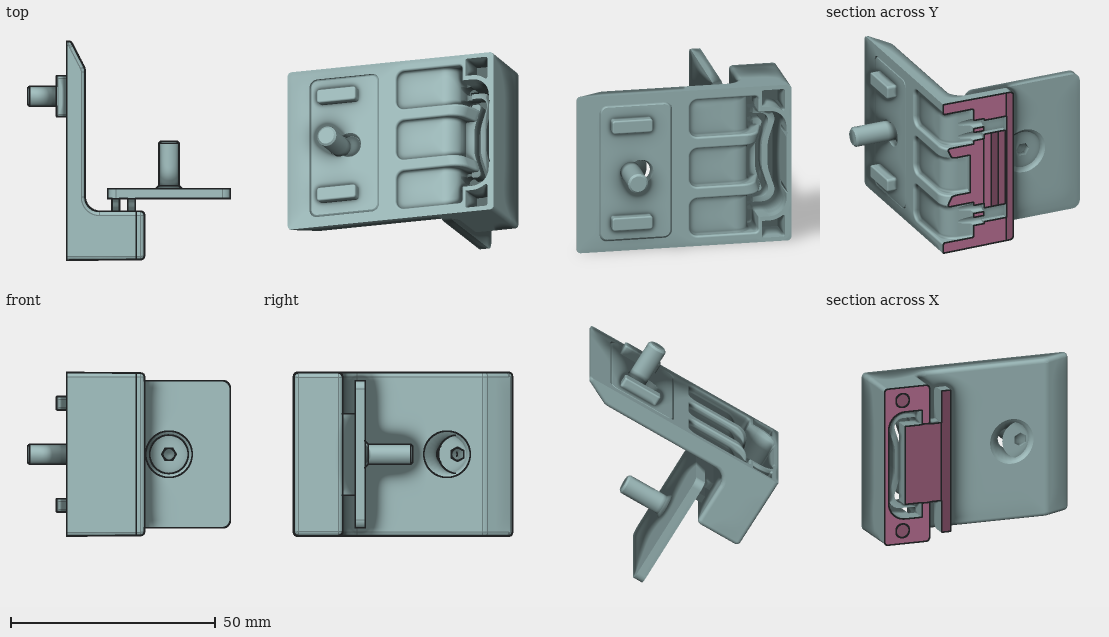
import cadquery as cq
import math


length = 53.5
height = 40.0
depth = 19.05
flange_t = 4.55
ledge_t = 12.0
inner_bend_r = 3.5
edge_r = 1.0
bevel_r = 2.7
draft_angle = 0.5
bevel_start_y = 46.75
bevel_tip_x = 1.05
tip_r = 0.5

cover_t = 2.0
split_x = depth - cover_t
post_r = 1.65
post_y = 4.85
post_z = 16.55

pocket_d = 1.5
pocket_edge_r = 0.5
pocket_end_y = 25.35
pocket_top_z = 17.5
rib_inner_z = 5.0
rib_outer_z = 7.85
pocket_bend_r = 3.75
pocket_bend_angle = 83.0
pocket_bend_y = 13.9
pocket_near_y = 8.25
pocket_corner_r = 2.05
near_corner_r = 0.9
outer_floor_x = 8.35
rib_curve_y = 11.2
rib_slope_angle = 15.0
rib_skew = 18.0

web_front_x = 7.35
ledge_wall_y = 9.9
magnet_x = 11.1
chamber_wall = 1.3
chamber_half_z = 13.55
chamber_r = 4.3
chamber_clear_y = 6.3
bulb_r = 1.1
bulb_y = 9.1
bulb_start_x = 4.8

spring_outer = (4.5, 12.0, 3.0)
spring_inner = (6.0, 10.8, 2.15)
web_edge = (7.65, 9.25, 0.8)
wave_flat = 2.05
wave_bend_r = 8.55
wave_angle = 18.4

corner_near_y = 1.65
corner_far_y = 7.4
corner_low_z = 13.4
corner_high_z = 18.95
corner_wall = 1.05
corner_r = 0.5
corner_draft = 3.0

pole_t = 1.85
magnet_t = 2.0
magnet_near_y = 5.45
magnet_width = 19.9

striker_start_x = 10.0
striker_length = 30.0
striker_t = 2.45
striker_height = 36.0
striker_y = 15.05
striker_corner_r = 2.0

shank_r = 2.45
head_r = 4.7
screw_length = 13.1
screw_tip = 0.5
head_recess = 0.95
socket_flats = 3.0
socket_d = 1.5
screw_x = striker_start_x + striker_length / 2

insert_y = 38.8
insert_width = 18.1
insert_height = 35.0
insert_t = 1.35
insert_corner_r = 2.0
insert_bevel = 0.55
hole_offset = 1.3
hole_r = 2.7
spare_hole_r = 3.05
spare_hole_back_r = 2.5
nub_length = 10.05
nub_width = 3.3
nub_d = 2.5
nub_z = 12.45
nub_corner_r = 0.65
nub_tip_r = 0.4

screw_y = insert_y + hole_offset
spare_y = insert_y - hole_offset
stack_t = 2 * pole_t + magnet_t


def box(x, y, z):
    """Axis-parallel box from three (low, high) ranges."""
    size = [high - low for low, high in (x, y, z)]
    return cq.Workplane("XY").box(*size, centered=False).translate((x[0], y[0], z[0]))


def yz_plane(x):
    return cq.Workplane("YZ", origin=(x, 0, 0))


def both_sides(solid):
    """The solid together with its mirror image below Z = 0."""
    return solid.union(solid.mirror("XY"))


def countersink(y):
    """Cone along X that opens at the far side of the flange."""
    surface_r = head_r + head_recess
    cone_t = surface_r - shank_r
    return cq.Workplane(cq.Solid.makeCone(
        shank_r, surface_r, cone_t, cq.Vector(flange_t - cone_t, y, 0), cq.Vector(1, 0, 0)))


def outer_body():
    profile = (
        cq.Workplane("XY", origin=(0, 0, -height / 2))
        .moveTo(0, 0)
        .lineTo(depth, 0)
        .lineTo(depth, ledge_t)
        .lineTo(flange_t + inner_bend_r, ledge_t)
        .radiusArc((flange_t, ledge_t + inner_bend_r), inner_bend_r)
        .lineTo(flange_t, bevel_start_y)
        .lineTo(bevel_tip_x, length)
        .lineTo(0, length)
        .close()
        .extrude(height)
    )
    for corner, radius in (((bevel_tip_x, length), tip_r), ((flange_t, bevel_start_y), bevel_r)):
        edge = cq.selectors.NearestToPointSelector((*corner, 0))
        profile = profile.edges(edge).fillet(radius)
    drafted = (
        yz_plane(0).center(length / 2, 0)
        .sketch().rect(length, height).vertices().fillet(edge_r).finalize()
        .extrude(depth, taper=draft_angle)
    )
    solid = profile.intersect(drafted)
    rim = cq.selectors.NearestToPointSelector((flange_t, length / 2, height / 2))
    solid = solid.edges(rim).fillet(edge_r)
    return solid.faces(">X").edges().fillet(edge_r)


def round_near_end(solid, high_z, deep_x):
    """Round the near upper corner of an outer pocket and the floor along it."""
    solid = solid.edges("|X and <Y").edges(">Z").fillet(near_corner_r)
    floor_edge = cq.selectors.NearestToPointSelector((deep_x, pocket_near_y, (rib_outer_z + high_z) / 2))
    return solid.edges(floor_edge).fillet(pocket_edge_r)


def pocket(low_z, high_z, near_y, deep_x):
    """Pocket whose floor sweeps from the flange down to the spring web."""
    angle = math.radians(pocket_bend_angle)
    bend_x = pocket_d + pocket_bend_r * (1 - math.cos(angle))
    bend_y = pocket_bend_y - pocket_bend_r * math.sin(angle)
    foot_y = bend_y - (deep_x - bend_x) / math.tan(angle)
    solid = (
        cq.Workplane("XY", origin=(0, 0, low_z))
        .moveTo(0, near_y)
        .lineTo(0, pocket_end_y)
        .lineTo(pocket_d, pocket_end_y)
        .lineTo(pocket_d, pocket_bend_y)
        .radiusArc((bend_x, bend_y), -pocket_bend_r)
        .lineTo(deep_x, foot_y)
        .lineTo(deep_x, near_y)
        .close()
        .extrude(high_z - low_z)
    )
    solid = solid.edges("|X and >Y").fillet(pocket_corner_r)
    if near_y > chamber_clear_y:
        solid = round_near_end(solid, high_z, deep_x)
    floor_edge = cq.selectors.NearestToPointSelector((pocket_d, (pocket_bend_y + pocket_end_y) / 2, low_z))
    return solid.edges(floor_edge).fillet(pocket_edge_r)


def chamber(x_start, x_end, far_y, wall=0.0):
    """Magnet chamber with rounded corners towards the -Y wall, grown by a wall around it."""
    half_z = chamber_half_z + wall
    return (
        box((x_start, x_end), (chamber_wall - wall, far_y), (-half_z, half_z))
        .edges("|X and <Y").fillet(chamber_r + wall)
    )


def wave(edge):
    """Web material between one wavy edge and the ledge wall."""
    mid_y, half_z, radius = edge
    angle = math.radians(wave_angle)
    bend_y = mid_y - wave_bend_r * (1 - math.cos(angle))
    bend_z = wave_flat + wave_bend_r * math.sin(angle)
    tip_y = bend_y - (half_z - bend_z) * math.tan(angle)
    return (
        yz_plane(web_front_x)
        .moveTo(ledge_wall_y, half_z)
        .lineTo(tip_y, half_z)
        .lineTo(bend_y, bend_z)
        .radiusArc((mid_y, wave_flat), wave_bend_r)
        .lineTo(mid_y, -wave_flat)
        .radiusArc((bend_y, -bend_z), wave_bend_r)
        .lineTo(tip_y, -half_z)
        .lineTo(ledge_wall_y, -half_z)
        .close()
        .extrude(magnet_x - web_front_x)
        .edges("|X and <Y").fillet(radius)
    )


def spring_slots():
    """Slots on both sides of the wavy spring, with round ends."""
    outer = chamber(web_front_x, magnet_x, bulb_y).cut(wave(spring_outer))
    inner = wave(spring_inner).cut(wave(web_edge))
    inner = inner.intersect(box((0, depth), (0, bulb_y), (-height, height)))
    slots = outer.union(inner)
    for slot_edge_z in (spring_outer[1] + bulb_r, spring_inner[1] - bulb_r):
        bulbs = yz_plane(bulb_start_x).pushPoints([(bulb_y, slot_edge_z), (bulb_y, -slot_edge_z)])
        slots = slots.union(bulbs.circle(bulb_r).extrude(magnet_x - bulb_start_x))
    return slots


def rib_end():
    """Cut that rounds the end of the upper rib down to the spring web."""
    slope = math.radians(rib_slope_angle)
    curve_x = pocket_bend_r * (1 - math.sin(slope))
    curve_y = rib_curve_y - pocket_bend_r * math.cos(slope)
    foot_y = curve_y - (web_front_x - curve_x) * math.tan(slope)
    skew = math.radians(rib_skew)
    rib_mid_z = (rib_inner_z + rib_outer_z) / 2
    plane = cq.Plane(
        origin=(0, 0, rib_mid_z),
        xDir=(1, 0, 0),
        normal=(0, -math.sin(skew), math.cos(skew)),
    )
    cut = (
        cq.Workplane(plane)
        .moveTo(0, chamber_wall)
        .lineTo(0, rib_curve_y)
        .radiusArc((curve_x, curve_y), -pocket_bend_r)
        .lineTo(web_front_x, foot_y)
        .lineTo(web_front_x, chamber_wall)
        .close()
        .extrude(height, both=True)
    )
    return cut.intersect(box((0, depth), (0, length), (rib_inner_z, rib_outer_z)))


def corner_pocket():
    """Pocket in the upper corner that follows the round of the chamber."""
    width = corner_far_y - corner_near_y
    tall = corner_high_z - corner_low_z
    return (
        yz_plane(0).center(corner_near_y + width / 2, corner_low_z + tall / 2)
        .sketch().rect(width, tall).vertices().fillet(corner_r).finalize()
        .extrude(web_front_x, taper=corner_draft)
        .cut(chamber(0, web_front_x, length, corner_wall))
    )


def posts(x_start):
    """Round posts of the cover, also used for their holes."""
    spots = [(post_y, post_z), (post_y, -post_z)]
    return yz_plane(x_start).pushPoints(spots).circle(post_r).extrude(split_x - x_start)


def screw_holes():
    """Two countersunk holes in the flange, one for each position of the insert."""
    holes = yz_plane(0).pushPoints([(screw_y, 0), (spare_y, 0)]).circle(shank_r).extrude(flange_t)
    return holes.union(countersink(screw_y)).union(countersink(spare_y))


def insert_outline():
    """Block that fills the insert recess."""
    return (
        yz_plane(0).center(insert_y, 0).rect(insert_width, insert_height).extrude(insert_t)
        .edges("|X").fillet(insert_corner_r)
    )


def round_pocket_rims(housing):
    """Round the rims of the pockets; each round runs on along the tangent edges."""
    middle_y = (rib_curve_y + pocket_end_y - pocket_corner_r) / 2
    for z in (rib_inner_z, rib_outer_z, -rib_outer_z):
        rim = cq.selectors.NearestToPointSelector((0, middle_y, z))
        housing = housing.edges(rim).fillet(pocket_edge_r)
    return housing


def make_housing(body):
    housing = body.intersect(box((0, split_x), (0, length), (-height, height)))
    mouth = box((0, web_front_x), (chamber_clear_y, pocket_near_y), (rib_outer_z, chamber_half_z))
    outer_pocket = pocket(rib_outer_z, pocket_top_z, pocket_near_y, outer_floor_x)
    for cut in (outer_pocket, mouth, rib_end(), corner_pocket()):
        housing = housing.cut(both_sides(cut))
    housing = housing.cut(pocket(-rib_inner_z, rib_inner_z, chamber_wall, web_front_x))
    housing = housing.cut(chamber(0, web_front_x, chamber_clear_y))
    housing = round_pocket_rims(housing)
    housing = housing.cut(spring_slots())
    housing = housing.cut(chamber(magnet_x, split_x, ledge_wall_y))
    housing = housing.cut(stack_layer(0, stack_t, ledge_t))
    housing = housing.cut(posts(web_front_x))
    return housing.cut(insert_outline()).cut(screw_holes())


def make_cover(body):
    plate = body.intersect(box((split_x, depth), (0, length), (-height, height)))
    return plate.union(posts(web_front_x))


def stack_layer(offset_x, thickness, end_y):
    start_x = magnet_x + offset_x
    half_width = magnet_width / 2
    return box((start_x, start_x + thickness), (magnet_near_y, end_y), (-half_width, half_width))


def make_poles():
    return [stack_layer(offset_x, pole_t, striker_y) for offset_x in (0, pole_t + magnet_t)]


def make_magnet():
    return stack_layer(pole_t, magnet_t, ledge_t)


def make_screw():
    """Countersunk screw along +Z with the top of its head on Z = 0."""
    screw = (
        cq.Workplane("XZ")
        .moveTo(0, 0)
        .lineTo(head_r, 0)
        .lineTo(shank_r, head_r - shank_r)
        .lineTo(shank_r, screw_length - screw_tip)
        .lineTo(shank_r - screw_tip, screw_length)
        .lineTo(0, screw_length)
        .close()
        .revolve(360, (0, 0), (0, 1))
    )
    socket_corner = socket_flats / math.cos(math.radians(30))
    socket = cq.Workplane("XY").polygon(6, socket_corner).extrude(socket_d)
    drill_r = socket_flats / 2
    drill_tip = cq.Solid.makeCone(drill_r, 0, drill_r / 2, cq.Vector(0, 0, socket_d))
    return screw.cut(socket).cut(cq.Workplane(drill_tip))


def make_striker_screw():
    return make_screw().rotate((0, 0, 0), (1, 0, 0), -90).translate((screw_x, striker_y + head_recess, 0))


def make_mounting_screw():
    return make_screw().rotate((0, 0, 0), (0, 1, 0), -90).translate((flange_t - head_recess, screw_y, 0))


def make_striker():
    plate = (
        cq.Workplane("XZ", origin=(screw_x, striker_y, 0))
        .rect(striker_length, striker_height).extrude(-striker_t)
        .edges("|Y").fillet(striker_corner_r)
    )
    surface_r = head_r + head_recess
    seat = cq.Solid.makeCone(
        surface_r, surface_r - striker_t, striker_t, cq.Vector(screw_x, striker_y, 0), cq.Vector(0, 1, 0))
    return plate.cut(cq.Workplane(seat))


def insert_nub(z):
    return (
        yz_plane(0).center(screw_y, z).rect(nub_length, nub_width).extrude(-nub_d)
        .edges("|X").fillet(nub_corner_r)
        .faces("<X").edges().fillet(nub_tip_r)
    )


def make_insert():
    insert = insert_outline().faces("<X").edges().chamfer(insert_bevel)
    insert = insert.cut(yz_plane(0).center(screw_y, 0).circle(hole_r).extrude(insert_t))
    spare_hole = cq.Solid.makeCone(
        spare_hole_r, spare_hole_back_r, insert_t, cq.Vector(0, spare_y, 0), cq.Vector(1, 0, 0))
    insert = insert.cut(cq.Workplane(spare_hole))
    for z in (nub_z, -nub_z):
        insert = insert.union(insert_nub(z))
    return insert


body = outer_body()
housing = make_housing(body)
cover = make_cover(body)
magnet = make_magnet()
poles = make_poles()
striker = make_striker()
striker_screw = make_striker_screw()
mounting_screw = make_mounting_screw()
insert = make_insert()

result = cq.Compound.makeCompound([
    housing.val(),
    cover.val(),
    magnet.val(),
    *[pole.val() for pole in poles],
    striker.val(),
    striker_screw.val(),
    mounting_screw.val(),
    insert.val(),
])